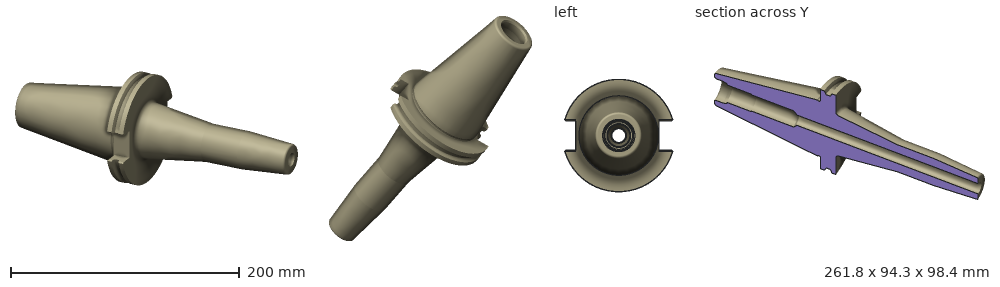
import cadquery as cq

total_length = 261.8
gauge_x = 102.0
flange_start_x = 105.0
flange_end_x = 120.7
neck_end_x = 181.5
nose_cone_length = 44.5

gauge_radius = 34.8
taper_rate = 7 / 24
taper_end_radius = gauge_radius - gauge_x * taper_rate / 2
flange_radius = 49.2
neck_root_radius = 25.5
shank_radius = 17.0
nose_tip_radius = 13.5

taper_end_rounding = 2.0
nose_tip_rounding = 1.8
neck_fillet = 3.1
match_tolerance = 0.03

relief_depth = 0.8
relief_radius = gauge_radius - relief_depth

gripper_mid_x = 112.8
gripper_depth = 3.7
gripper_floor_width = 4.0
gripper_mouth_width = 7.0
gripper_overshoot = 2.5

slot_width = 25.5
slot_chamfer = 1.3
shallow_slot_floor = 35.3
deep_slot_floor = 37.7

mouth_radius = 14.1
mouth_depth = 1.5
pilot_radius = 13.0
pilot_depth = 8.5
throat_radius = 12.0
throat_depth = 12.3
core_radius = 10.5
core_depth = 36.6
drill_radius = 9.7
drill_depth = 78.5
drill_tip_radius = 6.8
drill_tip_depth = 81.1
through_radius = 6.0


def revolve_about_x(points):
    """Turn a closed (x, radius) outline a full round about the X axis."""
    return cq.Workplane("XZ").polyline(points).close().revolve(360, (0, 0, 0), (1, 0, 0))


def make_taper():
    """Mounting taper with the relief groove that separates it from the flange."""
    taper = revolve_about_x([
        (0, 0),
        (0, taper_end_radius),
        (gauge_x, gauge_radius),
        (gauge_x + relief_depth, relief_radius),
        (flange_start_x - relief_depth, relief_radius),
        (flange_start_x, gauge_radius),
        (flange_start_x, 0),
    ])
    return taper.faces("<X").edges().fillet(taper_end_rounding)


def make_drive_slot(side, floor):
    """Cutter for one drive slot; side is +1 or -1 along Y."""
    cutter_reach = flange_radius
    return (
        cq.Workplane("XY")
        .box(total_length, cutter_reach, slot_width)
        .translate((total_length / 2, side * (floor + cutter_reach / 2), 0))
    )


def make_gripper_groove():
    """Ring cutter of trapezoid section, its flanks carried past the flange rim."""
    flank_slope = (gripper_mouth_width - gripper_floor_width) / 2 / gripper_depth
    half_floor = gripper_floor_width / 2
    half_outer = half_floor + flank_slope * (gripper_depth + gripper_overshoot)
    floor_radius = flange_radius - gripper_depth
    outer_radius = flange_radius + gripper_overshoot
    return revolve_about_x([
        (gripper_mid_x - half_floor, floor_radius),
        (gripper_mid_x - half_outer, outer_radius),
        (gripper_mid_x + half_outer, outer_radius),
        (gripper_mid_x + half_floor, floor_radius),
    ])


def is_exposed_slot_edge(edge):
    """True for slot edges on the rim and on the taper-side flange face, leaving the rest sharp."""
    centre = edge.Center()
    is_clear_of_floor = abs(centre.y) > deep_slot_floor + slot_chamfer
    return is_clear_of_floor and centre.x < flange_end_x - slot_chamfer


def make_flange():
    """Flange disc with two chamfered drive slots and the gripper groove."""
    disc = revolve_about_x([
        (flange_start_x, 0),
        (flange_start_x, flange_radius),
        (flange_end_x, flange_radius),
        (flange_end_x, 0),
    ])
    slotted = disc.cut(make_drive_slot(-1, shallow_slot_floor)).cut(make_drive_slot(1, deep_slot_floor))
    sharp_edges = slotted.faces("|Z").edges().filter(is_exposed_slot_edge)
    return sharp_edges.chamfer(slot_chamfer).cut(make_gripper_groove())


def make_neck():
    """Conical neck, cylindrical shank and conical nose."""
    return revolve_about_x([
        (flange_end_x, 0),
        (flange_end_x, neck_root_radius),
        (neck_end_x, shank_radius),
        (total_length - nose_cone_length, shank_radius),
        (total_length, nose_tip_radius),
        (total_length, 0),
    ]).faces(">X").edges().fillet(nose_tip_rounding)


def make_bore():
    """Cutter for the stepped bore that enters at the taper end and runs right through."""
    return revolve_about_x([
        (0, 0),
        (0, mouth_radius),
        (mouth_depth, pilot_radius),
        (pilot_depth, pilot_radius),
        (throat_depth, throat_radius),
        (throat_depth, core_radius),
        (core_depth, core_radius),
        (core_depth, drill_radius),
        (drill_depth, drill_radius),
        (drill_tip_depth, drill_tip_radius),
        (drill_tip_depth, through_radius),
        (total_length, through_radius),
        (total_length, 0),
    ])


def is_neck_root(edge):
    """True for the circle where the neck meets the flange face."""
    is_on_flange_face = abs(edge.Center().x - flange_end_x) < match_tolerance
    has_root_size = abs(edge.radius() - neck_root_radius) < match_tolerance
    return is_on_flange_face and has_root_size


outside = make_taper().union(make_flange()).union(make_neck())
blended = outside.edges("%CIRCLE").filter(is_neck_root).fillet(neck_fillet)
result = blended.cut(make_bore())